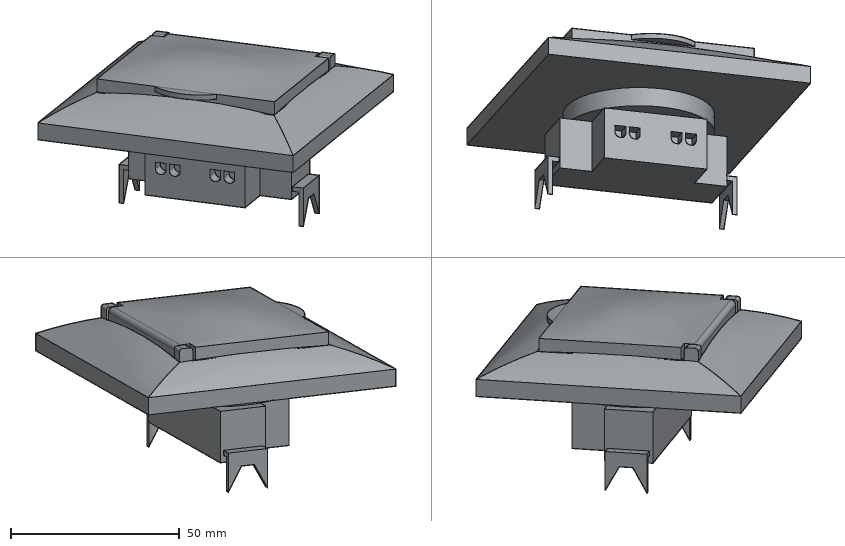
import cadquery as cq


frame_width = 81.5
frame_depth = 80.5
rim_height = 5.3
opening_width = 56.7
opening_depth = 49.1
opening_floor = 11.4
crown_height_long = 13.1
crown_height_short = 12.0
corner_bulge = 0.57
crown_bulge = 0.61

lid_depth = 47.9
lid_rim_height = 15.5
lid_back_radius = 1.55
dome_crowns = (
    (-lid_depth / 2, 0.0),
    (-14.5, 1.9),
    (-2.45, 3.0),
    (9.8, 1.9),
    (lid_depth / 2 - lid_back_radius, 0.0),
)
tab_width = 19.7
tab_reach = 3.5
tab_thickness = 1.55

hinge_width = 3.8
hinge_length = 4.3
hinge_radius = 1.0
hinge_side_gap = 0.3
hinge_front_gap = 0.9

drum_diameter = 45.0
drum_height = 5.8
block_bottom = -21.6
bar_width = 51.9
bar_back = 10.2
bar_front = -4.6
terminal_width = 31.95
terminal_front = -16.7

wire_hole_width = 3.35
wire_hole_top = -10.9
wire_hole_height = 3.7
wire_hole_depth = 4.1
wire_pair_offset = 8.7
wire_pair_pitch = 4.5

claw_thickness = 1.5
claw_span = 58.85
claw_top = -17.85
claw_tip = -29.9
claw_width = 12.8
claw_center_y = 2.8
claw_notch_top = -22.3
claw_notch_flat = 4.15


def box(x_range, y_range, z_range):
    """Axis-aligned box between the given (low, high) limits."""
    size = [high - low for low, high in (x_range, y_range, z_range)]
    return cq.Workplane("XY").box(*size, centered=False).translate((x_range[0], y_range[0], z_range[0]))


def crowned_slab(bottom, sections):
    """Loft along Y through sections (y, width, edge height, middle height), each with an arched top."""
    wires = []
    for y, width, edge_height, middle_height in sections:
        half = width / 2
        outline = (
            cq.Workplane("XZ", origin=(0, y, 0))
            .moveTo(half, edge_height)
            .lineTo(half, bottom)
            .lineTo(-half, bottom)
            .lineTo(-half, edge_height)
        )
        if middle_height > edge_height:
            outline = outline.threePointArc((0, middle_height), (half, edge_height))
        wires.append(outline.close().val())
    return cq.Workplane(cq.Solid.makeLoft(wires))


def frame_side(outer_length, inner_length, outer_distance, inner_distance, crown_height):
    """Front-facing side of the frame, from its straight outer rim up to its arched opening edge."""
    corner_rise = opening_floor - rim_height
    crown_rise = crown_height - rim_height
    return crowned_slab(0, [
        (-outer_distance, outer_length, rim_height, rim_height),
        (
            -(outer_distance + inner_distance) / 2,
            (outer_length + inner_length) / 2,
            rim_height + corner_bulge * corner_rise,
            rim_height + crown_bulge * crown_rise,
        ),
        (-inner_distance, inner_length, opening_floor, crown_height),
    ])


def make_frame():
    long_side = frame_side(
        frame_width, opening_width, frame_depth / 2, opening_depth / 2, crown_height_long
    )
    short_side = frame_side(
        frame_depth, opening_depth, frame_width / 2, opening_width / 2, crown_height_short
    )
    frame = box(
        (-opening_width / 2, opening_width / 2), (-opening_depth / 2, opening_depth / 2), (0, opening_floor)
    )
    for side, first_angle in ((long_side, 0), (short_side, 90)):
        for angle in (first_angle, first_angle + 180):
            frame = frame.union(side.rotate((0, 0, 0), (0, 0, 1), angle))
    return frame


def make_hinge_block(side):
    """Rounded block in a back corner of the opening; side is -1 for left and 1 for right."""
    outer_x = side * opening_width / 2
    inner_x = outer_x - side * hinge_width
    back_y = opening_depth / 2
    block = box(
        sorted((inner_x, outer_x)), (back_y - hinge_length, back_y), (opening_floor, lid_rim_height)
    )
    return block.faces(">Z").edges("|X").fillet(hinge_radius)


def make_terminal_block():
    bar = box((-bar_width / 2, bar_width / 2), (bar_front, bar_back), (block_bottom, -drum_height))
    terminals = box(
        (-terminal_width / 2, terminal_width / 2), (terminal_front, bar_front), (block_bottom, -drum_height)
    )
    return bar.union(terminals)


def make_wire_hole(x):
    """Cutter for a blind hole with a flat top and a round bottom in the front of the terminal block."""
    radius = wire_hole_width / 2
    bottom = wire_hole_top - wire_hole_height
    return (
        cq.Workplane("XZ", origin=(x, terminal_front, 0))
        .moveTo(-radius, wire_hole_top)
        .lineTo(-radius, bottom + radius)
        .threePointArc((0, bottom), (radius, bottom + radius))
        .lineTo(radius, wire_hole_top)
        .close()
        .extrude(-wire_hole_depth)
    )


def make_claw():
    """Left claw: an angle bracket whose hanging leg has a notch that leaves two points."""
    outer_x = -claw_span / 2
    y_range = (claw_center_y - claw_width / 2, claw_center_y + claw_width / 2)
    arm = box((outer_x, -bar_width / 2), y_range, (claw_top - claw_thickness, claw_top))
    leg = (
        cq.Workplane("YZ", origin=(outer_x, claw_center_y, 0))
        .moveTo(-claw_width / 2, claw_top)
        .lineTo(-claw_width / 2, claw_tip)
        .lineTo(-claw_notch_flat / 2, claw_notch_top)
        .lineTo(claw_notch_flat / 2, claw_notch_top)
        .lineTo(claw_width / 2, claw_tip)
        .lineTo(claw_width / 2, claw_top)
        .close()
        .extrude(claw_thickness)
    )
    return arm.union(leg)


def make_socket():
    drum = cq.Workplane("XY").circle(drum_diameter / 2).extrude(-drum_height)
    claw = make_claw()
    socket = make_frame().union(drum).union(make_terminal_block()).union(claw).union(claw.mirror("YZ"))
    for side in (-1, 1):
        socket = socket.union(make_hinge_block(side))
        for step in (-0.5, 0.5):
            socket = socket.cut(make_wire_hole(side * wire_pair_offset + step * wire_pair_pitch))
    return socket


def make_thumb_tab():
    """Plate with an arc-shaped front edge, flush with the top of the lid rim."""
    front_y = -lid_depth / 2
    return (
        cq.Workplane("XY", origin=(0, front_y, lid_rim_height))
        .moveTo(-tab_width / 2, 0)
        .threePointArc((0, -tab_reach), (tab_width / 2, 0))
        .close()
        .extrude(-tab_thickness)
    )


def make_lid():
    half_depth = lid_depth / 2
    plate = box(
        (-opening_width / 2, opening_width / 2), (-half_depth, half_depth), (opening_floor, lid_rim_height)
    )
    plate = plate.edges(">Y and >Z").fillet(lid_back_radius)

    dome_sections = [
        (y, opening_width, lid_rim_height, lid_rim_height + rise)
        for y, rise in dome_crowns
    ]
    lid = plate.union(crowned_slab(opening_floor, dome_sections)).union(make_thumb_tab())

    notch_width = hinge_width + hinge_side_gap
    notch_front = opening_depth / 2 - hinge_length - hinge_front_gap
    for side in (-1, 1):
        outer_x = side * opening_width / 2
        x_range = sorted((outer_x - side * notch_width, outer_x))
        lid = lid.cut(box(x_range, (notch_front, half_depth), (opening_floor, 2 * lid_rim_height)))
    return lid


socket = make_socket()
lid = make_lid()
result = cq.Compound.makeCompound([socket.solids().val(), lid.solids().val()])